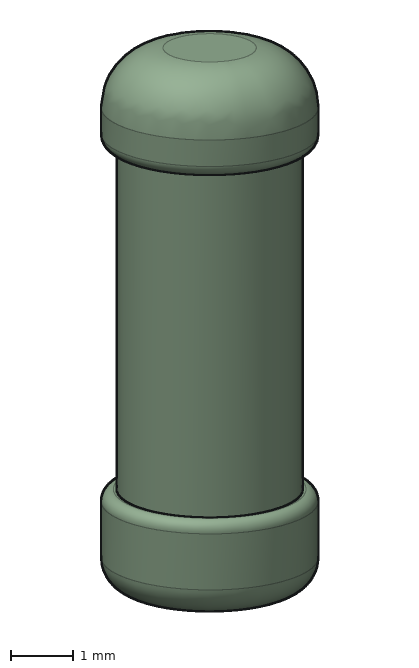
import cadquery as cq

total_length = 9.1
cap_diameter = 3.5
body_diameter = 3.0
cap_length = 1.65
top_dome_radius = 1.0
bottom_edge_radius = 0.5
inner_edge_radius = 0.2


def end_cap(base_z, lower_radius, upper_radius):
    """Cylindrical cap with a rounded lower and upper rim."""
    cap = cq.Workplane("XY").workplane(offset=base_z).circle(cap_diameter / 2).extrude(cap_length)
    cap = cap.faces("<Z").edges().fillet(lower_radius)
    return cap.faces(">Z").edges().fillet(upper_radius)


body_length = total_length - cap_length
body = (
    cq.Workplane("XY")
    .workplane(offset=cap_length / 2)
    .circle(body_diameter / 2)
    .extrude(body_length)
)

bottom_cap = end_cap(0, bottom_edge_radius, inner_edge_radius)
top_cap = end_cap(total_length - cap_length, inner_edge_radius, top_dome_radius)

result = body.union(bottom_cap).union(top_cap)